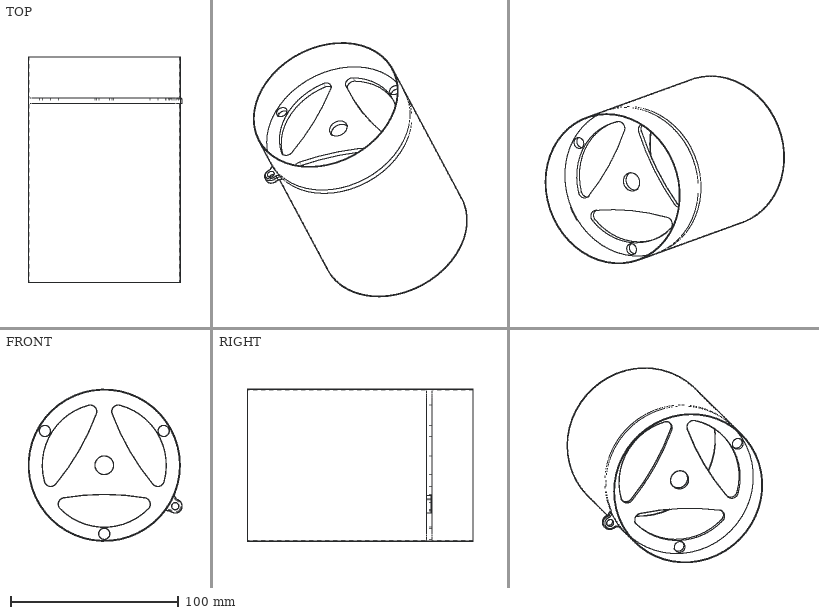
import cadquery as cq

tube_length = 134.96
tube_outer_radius = 91 / 2
tube_inner_radius = 90 / 2

plate_thickness = 3.5
plate_back_inset = 24.5
plate_back = tube_length - plate_back_inset
plate_front = plate_back - plate_thickness
center_hole_diameter = 11.0
rim_hole_diameter = 6.55
rim_hole_pitch_radius = 41.0
spoke_count = 3
first_window_angle = -90.0

window_outer_radius = 37.0
window_inner_distance = 17.5
window_inner_edge_radius = 145.0
window_corner_radius = 3.8

ear_angle = -30.0
ear_hole_diameter = 4.17
ear_hole_pitch_radius = 49.0
ear_end_radius = 4.15
ear_root_half_width = 5.4
ear_taper_length = 2.3
ear_chamfer = 0.8
ear_embed = 3.0


def extrude_plate_profile(profile):
    """Extrude a profile drawn in X and Z through the plate's thickness."""
    return profile.extrude(-plate_thickness)


def plate_plane():
    """Plane of the plate's -Y face, centered on the tube axis."""
    return cq.Workplane("XZ", origin=(0, plate_front, 0))


def turn(body, angle):
    """Turn a body about the tube axis, positive from +X toward +Z."""
    return body.rotate((0, 0, 0), (0, -1, 0), angle)


def make_tube():
    ring = cq.Workplane("XZ").circle(tube_outer_radius).circle(tube_inner_radius)
    return ring.extrude(-tube_length)


def make_window():
    """Window facing +X: rim arc outside, shallow arc bulging toward the axis inside."""
    edge_center = window_inner_distance + window_inner_edge_radius
    outer = extrude_plate_profile(plate_plane().circle(window_outer_radius))
    inner = extrude_plate_profile(
        plate_plane().center(edge_center, 0).circle(window_inner_edge_radius)
    )
    return outer.intersect(inner).edges("|Y").fillet(window_corner_radius)


def make_ear():
    """Ear pointing along +X, tapering from its root to a rounded end."""
    root = tube_inner_radius
    neck = root + ear_taper_length
    tip = ear_hole_pitch_radius + ear_end_radius
    outline = (
        plate_plane()
        .moveTo(root - ear_embed, -ear_root_half_width)
        .lineTo(root, -ear_root_half_width)
        .lineTo(neck, -ear_end_radius)
        .lineTo(ear_hole_pitch_radius, -ear_end_radius)
        .threePointArc((tip, 0), (ear_hole_pitch_radius, ear_end_radius))
        .lineTo(neck, ear_end_radius)
        .lineTo(root, ear_root_half_width)
        .lineTo(root - ear_embed, ear_root_half_width)
        .close()
    )
    hole = plate_plane().center(ear_hole_pitch_radius, 0).circle(ear_hole_diameter / 2)
    ear = extrude_plate_profile(outline).faces(">Y").chamfer(ear_chamfer)
    return ear.cut(extrude_plate_profile(hole))


def make_plate():
    disc = plate_plane().circle(tube_inner_radius).circle(center_hole_diameter / 2)
    plate = extrude_plate_profile(disc)
    window = make_window()
    rim_hole = extrude_plate_profile(
        plate_plane().center(rim_hole_pitch_radius, 0).circle(rim_hole_diameter / 2)
    )
    for index in range(spoke_count):
        angle = first_window_angle + index * 360 / spoke_count
        plate = plate.cut(turn(window, angle)).cut(turn(rim_hole, angle))
    return plate


result = make_tube().union(make_plate()).union(turn(make_ear(), ear_angle))